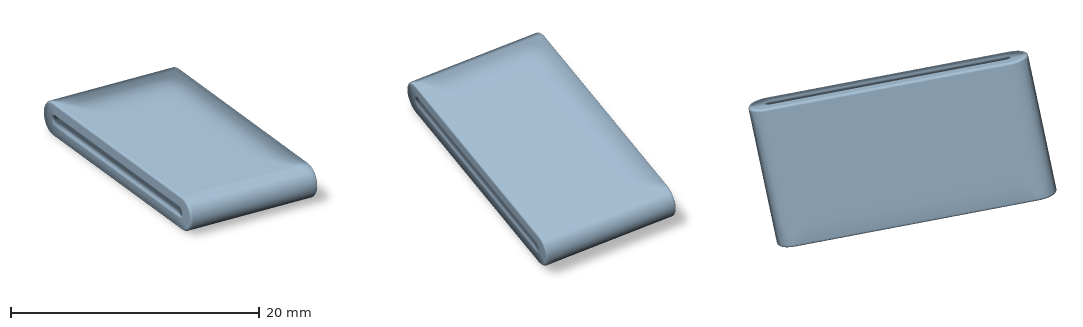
import cadquery as cq

WIDTH = 23.0
LENGTH = 12.0
HEIGHT = 3.0

SLOT_WIDTH = 20.0
SLOT_HEIGHT = 0.7

RIM_RADIUS = 0.2


def stadium_prism(width, height):
    """Round-ended bar running along Y, centred on the origin."""
    return cq.Workplane("XZ").slot2D(width, height).extrude(LENGTH / 2, both=True)


sleeve = stadium_prism(WIDTH, HEIGHT).cut(stadium_prism(SLOT_WIDTH, SLOT_HEIGHT))

result = sleeve.faces("<Y or >Y").edges().fillet(RIM_RADIUS)